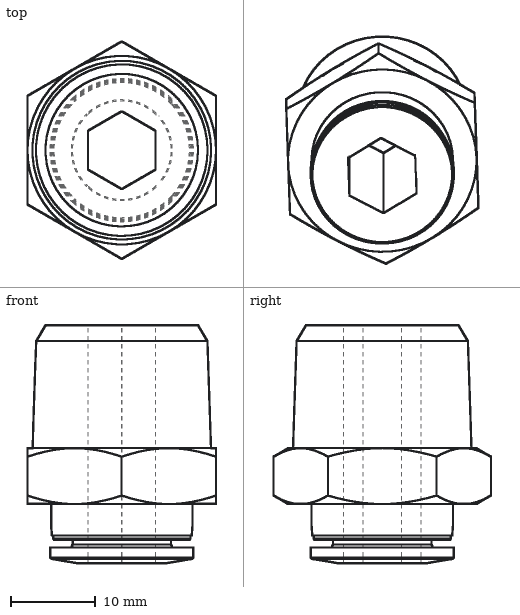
import cadquery as cq
import math

total_height = 28.1
nut_bottom = 7.0
nut_top = 13.57
taper_top = 26.2

taper_base_radius = 10.55
taper_top_radius = 10.12
top_face_radius = 9.0

nut_flats = 22.23
socket_flats = 7.92
nut_chamfer_angle = 30.0

collar_radius = 16.7 / 2
collar_rim_radius = 16.2 / 2
collar_bottom_radius = 7.98
collar_taper_radius = 8.25
collar_line = 4.3
collar_taper_end = 3.25
collar_rim_bevel = 2.95
collar_bottom = 2.75

neck_radius = 5.82
neck_foot_radius = 5.95
neck_foot_top = 2.25
flange_radius = 16.92 / 2
flange_top = 1.88
flange_rim_bottom = 0.67
flange_edge_bottom = 0.5
flange_edge_radius = 8.23
bottom_face_radius = 5.23


def hexagonal_prism(flats, bottom, top):
    corner_diameter = flats / math.cos(math.radians(30))
    return (
        cq.Workplane("XY")
        .workplane(offset=bottom)
        .polygon(6, corner_diameter)
        .extrude(top - bottom)
        .rotate((0, 0, 0), (0, 0, 1), 30)
    )


def turned(profile):
    """Revolve a closed (radius, height) outline about the Z axis."""
    return cq.Workplane("XZ").polyline(profile).close().revolve(360, (0, 0, 0), (0, 1, 0))


def chamfered_nut():
    flat_radius = nut_flats / 2
    half_height = (nut_top - nut_bottom) / 2
    cone_radius = flat_radius + half_height / math.tan(math.radians(nut_chamfer_angle))
    trimming_cones = turned([
        (0, nut_bottom),
        (flat_radius, nut_bottom),
        (cone_radius, nut_bottom + half_height),
        (flat_radius, nut_top),
        (0, nut_top),
    ])
    return hexagonal_prism(nut_flats, nut_bottom, nut_top).intersect(trimming_cones)


turned_body = turned([
    (0, 0),
    (bottom_face_radius, 0),
    (flange_edge_radius, flange_edge_bottom),
    (flange_radius, flange_rim_bottom),
    (flange_radius, flange_top),
    (neck_foot_radius, flange_top),
    (neck_radius, neck_foot_top),
    (neck_radius, collar_bottom),
    (collar_bottom_radius, collar_bottom),
    (collar_rim_radius, collar_rim_bevel),
    (collar_rim_radius, collar_taper_end),
    (collar_taper_radius, collar_taper_end),
    (collar_radius, collar_line),
    (collar_radius, nut_bottom),
    (taper_base_radius, nut_top),
    (taper_top_radius, taper_top),
    (top_face_radius, total_height),
    (0, total_height),
])

socket = hexagonal_prism(socket_flats, 0, total_height)

result = turned_body.union(chamfered_nut()).cut(socket)